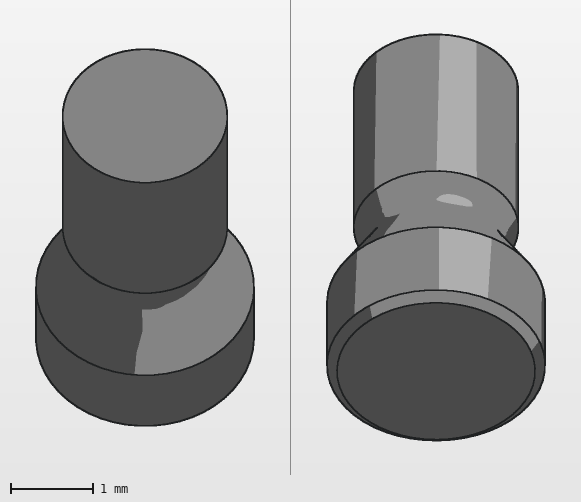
import cadquery as cq
import math

total_height = 4.7
base_radius = 1.325
shaft_radius = 1.0

base_top = 1.15
shaft_bottom = 2.405

chamfer_height = 0.1
chamfer_width = 0.12

cone_angle = math.radians(30)
neck_arc_radius = 0.3

slope = math.tan(cone_angle)
cones_height = shaft_bottom - base_top
lower_cone_height = (cones_height + (base_radius - shaft_radius) / slope) / 2
corner_z = base_top + lower_cone_height
corner_radius = base_radius - lower_cone_height * slope

tangent_length = neck_arc_radius * math.tan(cone_angle)
tangent_radius = corner_radius + tangent_length * math.sin(cone_angle)
tangent_rise = tangent_length * math.cos(cone_angle)
waist_radius = corner_radius + neck_arc_radius * (1 / math.cos(cone_angle) - 1)

profile = (
    cq.Workplane("XZ")
    .moveTo(0, 0)
    .lineTo(base_radius - chamfer_width, 0)
    .lineTo(base_radius, chamfer_height)
    .lineTo(base_radius, base_top)
    .lineTo(tangent_radius, corner_z - tangent_rise)
    .threePointArc((waist_radius, corner_z), (tangent_radius, corner_z + tangent_rise))
    .lineTo(shaft_radius, shaft_bottom)
    .lineTo(shaft_radius, total_height)
    .lineTo(0, total_height)
    .close()
)

result = profile.revolve(360, (0, 0, 0), (0, 1, 0))